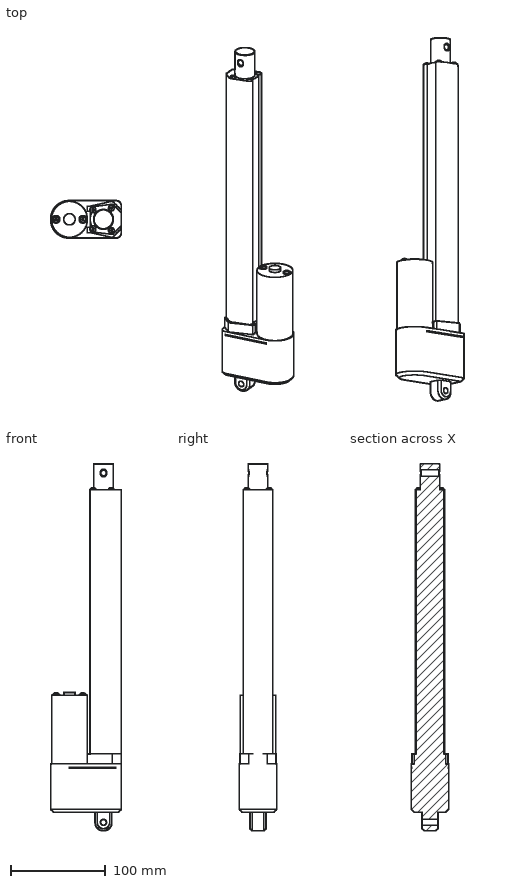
import cadquery as cq
import math


HOUSING_BOTTOM = 19.5
HOUSING_SEAM = 37.0
HOUSING_TOP = 71.0
BLOCK_TOP = 81.5
MOTOR_TOP = 143.7
CAP_BOTTOM = 356.8
CAP_TOP = 361.2
ROD_TOP = 388.49

HOUSING_WIDTH = 40.0
HOUSING_FRONT_X = 19.04
HOUSING_LENGTH = 75.04
HOUSING_REAR_X = HOUSING_FRONT_X - HOUSING_LENGTH
HOUSING_REAR_RADIUS = 19.9
HOUSING_CORNER_RADIUS = 6.0
HOUSING_CHAMFER = 3.5
SIDE_GROOVE_Z = 67.0
SIDE_GROOVE_HEIGHT = 1.0
SIDE_GROOVE_DEPTH = 0.5

MOTOR_X = HOUSING_REAR_X + HOUSING_WIDTH / 2
MOTOR_DIAMETER = 38.0
MOTOR_BOSS_DIAMETER = 12.0
MOTOR_BOSS_HEIGHT = 3.0
MOTOR_SCREW_OFFSET = 14.2

REAR_LOBE = (-10.9, 9.9)
REAR_LOBE_RADIUS = 3.5
REAR_LOBE_END_ANGLE = math.radians(240)
REAR_FACE_X = -14.0
FRONT_LOBE = (8.3, 11.8)
FRONT_LOBE_RADIUS = 4.0
FRONT_EDGE_RADIUS = 2.5
FRONT_FACE_X = HOUSING_FRONT_X

BLOCK_REAR_X = -17.0
BLOCK_REAR_HALF_WIDTH = 14.0
BLOCK_HALF_WIDTH = 19.2
BLOCK_SHOULDER_X = 9.5
BLOCK_NOTCH_HALF_WIDTH = 8.4

ROD_DIAMETER = 21.0
ROD_END_CHAMFER = 0.5
ROD_PIN_DIAMETER = 6.0
ROD_PIN_RIM_DIAMETER = 8.0
ROD_PIN_FROM_END = 9.8

LUG_WIDTH = 18.0
LUG_THICKNESS = 17.0
LUG_CHAMFER = 2.4
LUG_PIN_DIAMETER = 6.0

SCREW_HEAD_DIAMETER = 6.0
SCREW_HEAD_HEIGHT = 2.0
SCREW_SLOT_LENGTH = 2.4
SCREW_SLOT_WIDTH = 0.6
SCREW_SLOT_DEPTH = 0.6
WASHER_DIAMETER = 8.0
WASHER_THICKNESS = 0.6


def cylinder(x, y, bottom, top, diameter):
    """Upright cylinder between two heights."""
    return cq.Workplane("XY", origin=(x, y, bottom)).circle(diameter / 2).extrude(top - bottom)


def cross_pin(z, diameter, length):
    """Cylinder along Y through the rod axis, used to cut pin holes."""
    return cq.Workplane("XZ", origin=(0, 0, z)).circle(diameter / 2).extrude(length / 2, both=True)


def on_circle(center, radius, angle):
    return (center[0] + radius * math.cos(angle), center[1] + radius * math.sin(angle))


def mirrored(point):
    return (point[0], -point[1])


def make_housing():
    width = HOUSING_WIDTH
    center_x = HOUSING_REAR_X + HOUSING_LENGTH / 2

    def layer(bottom, top):
        base = cq.Workplane("XY", origin=(center_x, 0, bottom))
        body = base.rect(HOUSING_LENGTH, width).extrude(top - bottom)
        body = body.edges("|Z and <X").fillet(HOUSING_REAR_RADIUS)
        return body.edges("|Z and >X").fillet(HOUSING_CORNER_RADIUS)

    lower = layer(HOUSING_BOTTOM, HOUSING_SEAM).faces("<Z").chamfer(HOUSING_CHAMFER)
    upper = layer(HOUSING_SEAM, HOUSING_TOP)

    groove_rear = HOUSING_REAR_X + HOUSING_REAR_RADIUS
    groove_front = HOUSING_FRONT_X - HOUSING_CORNER_RADIUS
    groove_center = (groove_rear + groove_front) / 2
    for side in (-1, 1):
        groove = cq.Workplane("XY").box(
            groove_front - groove_rear, 2 * SIDE_GROOVE_DEPTH, SIDE_GROOVE_HEIGHT
        )
        upper = upper.cut(groove.translate((groove_center, side * width / 2, SIDE_GROOVE_Z)))
    return lower, upper


def make_motor():
    motor = cylinder(MOTOR_X, 0, HOUSING_TOP, MOTOR_TOP, MOTOR_DIAMETER)
    boss = cylinder(MOTOR_X, 0, MOTOR_TOP, MOTOR_TOP + MOTOR_BOSS_HEIGHT, MOTOR_BOSS_DIAMETER)
    return motor.union(boss)


def make_tube_section(bottom, top):
    """Length of the guide tube profile, symmetric about Y = 0."""
    run = FRONT_LOBE[0] - REAR_LOBE[0]
    rise = FRONT_LOBE[1] - REAR_LOBE[1]
    radius_growth = FRONT_LOBE_RADIUS - REAR_LOBE_RADIUS
    side_slope = math.atan2(rise, run) + math.asin(radius_growth / math.hypot(run, rise))
    side_normal = math.pi / 2 + side_slope
    bevel_normal = math.pi / 4

    rear_start = on_circle(REAR_LOBE, REAR_LOBE_RADIUS, REAR_LOBE_END_ANGLE)
    rear_mid = on_circle(REAR_LOBE, REAR_LOBE_RADIUS, (REAR_LOBE_END_ANGLE + side_normal) / 2)
    rear_end = on_circle(REAR_LOBE, REAR_LOBE_RADIUS, side_normal)
    front_start = on_circle(FRONT_LOBE, FRONT_LOBE_RADIUS, side_normal)
    front_mid = on_circle(FRONT_LOBE, FRONT_LOBE_RADIUS, (side_normal + bevel_normal) / 2)
    front_end = on_circle(FRONT_LOBE, FRONT_LOBE_RADIUS, bevel_normal)
    front_edge = (FRONT_FACE_X, front_end[1] - (FRONT_FACE_X - front_end[0]))

    section = (
        cq.Workplane("XY", origin=(0, 0, bottom))
        .moveTo(*rear_start)
        .threePointArc(rear_mid, rear_end)
        .lineTo(*front_start)
        .threePointArc(front_mid, front_end)
        .lineTo(*front_edge)
        .lineTo(*mirrored(front_edge))
        .lineTo(*mirrored(front_end))
        .threePointArc(mirrored(front_mid), mirrored(front_start))
        .lineTo(*mirrored(rear_end))
        .threePointArc(mirrored(rear_mid), mirrored(rear_start))
        .threePointArc((REAR_FACE_X, 0), rear_start)
        .close()
        .extrude(top - bottom)
    )
    return section.edges("|Z and >X").fillet(FRONT_EDGE_RADIUS)


def make_block():
    bevel_end_y = BLOCK_HALF_WIDTH - (FRONT_FACE_X - BLOCK_SHOULDER_X)
    upper_side = [
        (REAR_FACE_X, BLOCK_NOTCH_HALF_WIDTH),
        (BLOCK_REAR_X, BLOCK_NOTCH_HALF_WIDTH),
        (BLOCK_REAR_X, BLOCK_REAR_HALF_WIDTH),
        (REAR_FACE_X, BLOCK_REAR_HALF_WIDTH),
        (BLOCK_SHOULDER_X, BLOCK_HALF_WIDTH),
        (FRONT_FACE_X, bevel_end_y),
    ]
    lower_side = [mirrored(point) for point in reversed(upper_side)]
    outline = cq.Workplane("XY", origin=(0, 0, HOUSING_TOP)).polyline(upper_side + lower_side).close()
    return outline.extrude(BLOCK_TOP - HOUSING_TOP)


def make_rod():
    """Rod end with a chamfered top and a pin hole countersunk on both sides."""
    pin_z = ROD_TOP - ROD_PIN_FROM_END
    rod = cylinder(0, 0, CAP_TOP, ROD_TOP, ROD_DIAMETER)
    rod = rod.faces(">Z").chamfer(ROD_END_CHAMFER)
    rod = rod.cut(cross_pin(pin_z, ROD_PIN_DIAMETER, 2 * ROD_DIAMETER))

    rim_radius = ROD_PIN_RIM_DIAMETER / 2
    rod_radius = ROD_DIAMETER / 2
    for side in (-1, 1):
        surface_point = cq.Vector(0, side * rod_radius, pin_z)
        inward = cq.Vector(0, -side, 0)
        rod = rod.cut(cq.Workplane(cq.Solid.makeCone(rim_radius, 0, rim_radius, surface_point, inward)))
    return rod


def make_lug():
    radius = LUG_WIDTH / 2
    lug = (
        cq.Workplane("XZ")
        .moveTo(-radius, HOUSING_BOTTOM)
        .lineTo(-radius, radius)
        .threePointArc((0, 0), (radius, radius))
        .lineTo(radius, HOUSING_BOTTOM)
        .close()
        .extrude(LUG_THICKNESS / 2, both=True)
    )
    lug = lug.faces("<Y or >Y").edges("not >Z").chamfer(LUG_CHAMFER)
    return lug.cut(cross_pin(radius, LUG_PIN_DIAMETER, 2 * LUG_THICKNESS))


def make_screw_head(x, y, z):
    """Domed screw head with a cross recess."""
    radius = SCREW_HEAD_DIAMETER / 2
    sphere_radius = (radius**2 + SCREW_HEAD_HEIGHT**2) / (2 * SCREW_HEAD_HEIGHT)
    sphere = cq.Workplane("XY").sphere(sphere_radius).translate((0, 0, SCREW_HEAD_HEIGHT - sphere_radius))
    head = cylinder(0, 0, 0, SCREW_HEAD_HEIGHT, SCREW_HEAD_DIAMETER).intersect(sphere)
    slot = cq.Workplane("XY").box(SCREW_SLOT_LENGTH, SCREW_SLOT_WIDTH, 2 * SCREW_SLOT_DEPTH)
    cross = slot.union(slot.rotate((0, 0, 0), (0, 0, 1), 90))
    head = head.cut(cross.translate((0, 0, SCREW_HEAD_HEIGHT)))
    return head.translate((x, y, z))


cap = make_tube_section(CAP_BOTTOM, CAP_TOP)
tube = make_tube_section(HOUSING_TOP, CAP_BOTTOM)

housing_lower, housing_upper = make_housing()
parts = [housing_upper, make_motor(), make_block(), tube, cap, make_rod(), make_lug()]
for screw_x in (MOTOR_X - MOTOR_SCREW_OFFSET, MOTOR_X + MOTOR_SCREW_OFFSET):
    washer_top = MOTOR_TOP + WASHER_THICKNESS
    parts.append(cylinder(screw_x, 0, MOTOR_TOP, washer_top, WASHER_DIAMETER))
    parts.append(make_screw_head(screw_x, 0, washer_top))
for lobe in (REAR_LOBE, FRONT_LOBE):
    parts.append(make_screw_head(*lobe, CAP_TOP))
    parts.append(make_screw_head(*mirrored(lobe), CAP_TOP))

result = housing_lower
for part in parts:
    result = result.union(part, clean=False)